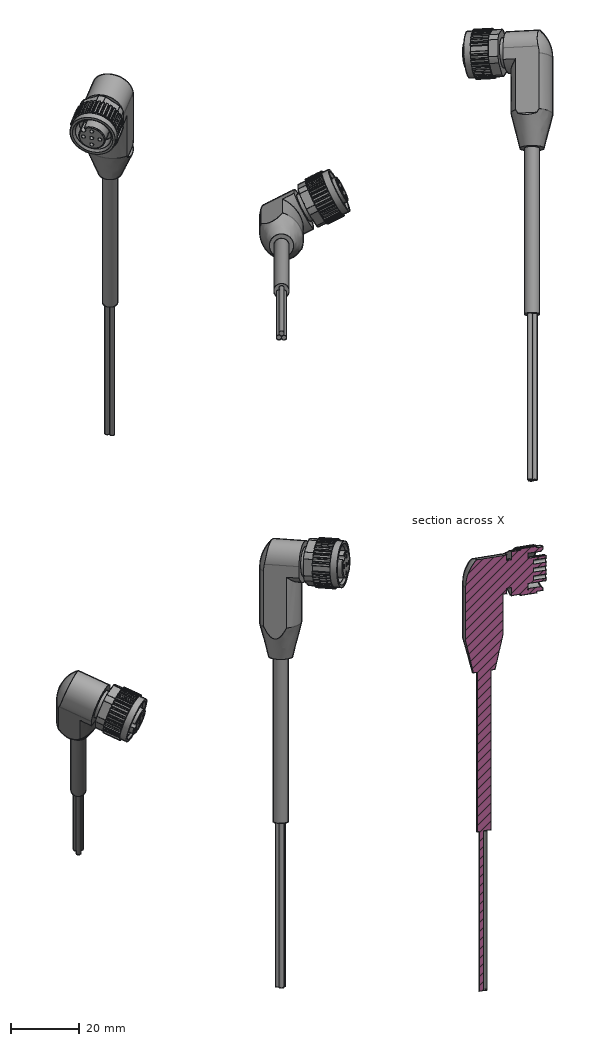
import cadquery as cq
import math


total_height = 136.5
total_depth = 26.0
knurl_diameter = 14.7

half_width = 6.1
half_depth = 6.07
bulge_half_width = 7.5
bulge_angle = math.acos(half_width / bulge_half_width)
housing_front = -7.3
dome_radius = 11.2
dome_start = -2.0
dome_axis_y = half_depth - dome_radius

taper_top = -18.8
taper_bottom = -29.2
taper_end_radius = 3.5
grip_ramp_top = -19.9
cable_diameter = 4.5
cable_bottom = -79.1
wire_bottom = knurl_diameter / 2 - total_height
wire_count = 3
wire_diameter = 1.5
wire_ring_radius = 0.86
first_wire_angle = 90

neck_diameter = 8.9
nut_back = -8.7
knurl_back = -11.6
knurl_front = -16.9
collar_front = -19.0
insert_front = half_depth - total_depth
hex_across_flats = 13.0
hex_corner_diameter = 13.9
collar_diameter = 13.8
knurl_count = 36
knurl_land_fraction = 0.5
knurl_foot_fraction = 0.7

bore_diameter = 10.9
bore_mouth_diameter = 12.3
bore_floor = -14.2
insert_diameter = 8.0
insert_bevel = 0.3
socket_diameter = 1.15
socket_ring_radius = 2.5
socket_depth = 4.1
key_diameter = 1.5
key_ring_radius = 3.62
key_angle = 135


def plug_plane(y):
    """Sketch plane across the plug axis: local x is X, local y is Z, extrusion goes to -Y."""
    return cq.Workplane("XZ", origin=(0, y, 0))


def extrude_y(diameter, start, end):
    """Round bar on the plug axis from Y = start forward to Y = end."""
    return plug_plane(start).circle(diameter / 2).extrude(start - end)


def make_column():
    """Upright part: an ellipse trimmed by two flats."""
    ellipse = (
        cq.Workplane("XY", origin=(0, 0, taper_top))
        .ellipse(bulge_half_width, half_depth)
        .extrude(dome_start - taper_top)
    )
    flats = (
        cq.Workplane("XY", origin=(0, 0, taper_top))
        .rect(2 * half_width, 2 * bulge_half_width)
        .extrude(dome_start - taper_top)
    )
    return ellipse.intersect(flats)


def bulge(sketch):
    """Add the elliptical rounding that runs over local +y from flat to flat."""
    start = math.degrees(bulge_angle)
    return sketch.ellipseArc(bulge_half_width, half_depth, start, 180 - start, startAtCurrent=False)


def arm_section(y):
    """Section of the horizontal arm: half round on top, flat sides, bulged underneath."""
    upside_down = plug_plane(y).transformed(rotate=(0, 0, 180))
    return (
        bulge(upside_down)
        .lineTo(-half_width, 0)
        .threePointArc((0, -half_width), (half_width, 0))
        .close()
    )


def make_arm():
    """Horizontal arm whose rear end is rounded over into the back of the column."""
    front = arm_section(0).extrude(-housing_front)
    rear = arm_section(half_depth).extrude(half_depth)
    dome = (
        bulge(cq.Workplane("XY", origin=(0, 0, dome_start)))
        .lineTo(-half_width, dome_axis_y)
        .lineTo(half_width, dome_axis_y)
        .close()
        .revolve(90, (0, dome_axis_y, 0), (1, dome_axis_y, 0))
    )
    return front.union(rear.intersect(dome))


def make_taper():
    """Elliptical strain relief; its -X flat runs out freely, its +X flat ends at a ramp."""
    cone = (
        cq.Workplane("XY", origin=(0, 0, taper_top))
        .ellipse(bulge_half_width, half_depth)
        .workplane(offset=taper_bottom - taper_top)
        .ellipse(taper_end_radius, taper_end_radius)
        .loft()
    )
    ramp_run = bulge_half_width - half_width
    trim = (
        cq.Workplane("XZ")
        .moveTo(-half_width, taper_top)
        .lineTo(half_width, taper_top)
        .lineTo(half_width, grip_ramp_top)
        .lineTo(bulge_half_width, grip_ramp_top - ramp_run)
        .lineTo(bulge_half_width, taper_bottom)
        .lineTo(-half_width, taper_bottom)
        .close()
        .extrude(half_width, both=True)
    )
    return cone.intersect(trim)


def make_cable():
    """Round cable with a ring of bare wires at its end, one wire toward +Y."""
    cable = (
        cq.Workplane("XY", origin=(0, 0, taper_bottom))
        .circle(cable_diameter / 2)
        .extrude(cable_bottom - taper_bottom)
    )
    wires = (
        cq.Workplane("XY", origin=(0, 0, wire_bottom))
        .polarArray(wire_ring_radius, first_wire_angle, 360, wire_count)
        .circle(wire_diameter / 2)
        .extrude(cable_bottom - wire_bottom)
    )
    return cable.union(wires)


def make_hex():
    """Hexagon with flats toward +X and -X and its corners turned off."""
    corner_circle = hex_across_flats / math.cos(math.pi / 6)
    hexagon = (
        plug_plane(nut_back)
        .transformed(rotate=(0, 0, 30))
        .polygon(6, corner_circle)
        .extrude(nut_back - knurl_back)
    )
    return hexagon.intersect(extrude_y(hex_corner_diameter, nut_back, knurl_back))


def make_knurl():
    """Ring of straight teeth with flat lands and flat grooves, the +X and -X teeth left out."""
    pitch = 2 * math.pi / knurl_count
    half_land = knurl_land_fraction * pitch / 2
    half_foot = knurl_foot_fraction * pitch / 2
    outer = knurl_diameter / 2
    root = collar_diameter / 2
    points = []
    for tooth in range(knurl_count):
        if tooth % (knurl_count // 2) == 0:
            continue
        angle = tooth * pitch
        corners = ((root, -half_foot), (outer, -half_land), (outer, half_land), (root, half_foot))
        for radius, offset in corners:
            points.append((radius * math.cos(angle + offset), radius * math.sin(angle + offset)))
    return plug_plane(knurl_back).polyline(points).close().extrude(knurl_back - knurl_front)


def cut_bore(nut):
    """Open the front of the nut with a bevelled bore."""
    mouth_bevel = (bore_mouth_diameter - bore_diameter) / 2
    bored = nut.cut(extrude_y(bore_diameter, bore_floor, collar_front))
    smallest_rim = cq.selectors.RadiusNthSelector(0)
    return bored.faces("<Y").edges(smallest_rim).chamfer(mouth_bevel)


def make_insert():
    """Contact carrier with four sockets around a central one and a keyway in its rim."""
    body = extrude_y(insert_diameter, bore_floor, insert_front).faces("<Y").chamfer(insert_bevel)
    sockets = (
        plug_plane(insert_front + socket_depth)
        .polarArray(socket_ring_radius, 0, 360, 4)
        .circle(socket_diameter / 2)
        .extrude(socket_depth)
    )
    centre = extrude_y(socket_diameter, insert_front + socket_depth, insert_front)
    key = (
        plug_plane(insert_front + socket_depth)
        .polarArray(key_ring_radius, key_angle, 360, 1)
        .circle(key_diameter / 2)
        .extrude(socket_depth)
    )
    return body.cut(sockets).cut(centre).cut(key)


neck = extrude_y(neck_diameter, housing_front, nut_back)
collar = extrude_y(collar_diameter, knurl_front, collar_front)
nut = cut_bore(make_hex().union(make_knurl()).union(collar))

result = (
    make_column()
    .union(make_arm())
    .union(make_taper())
    .union(make_cable())
    .union(neck)
    .union(nut)
    .union(make_insert())
)